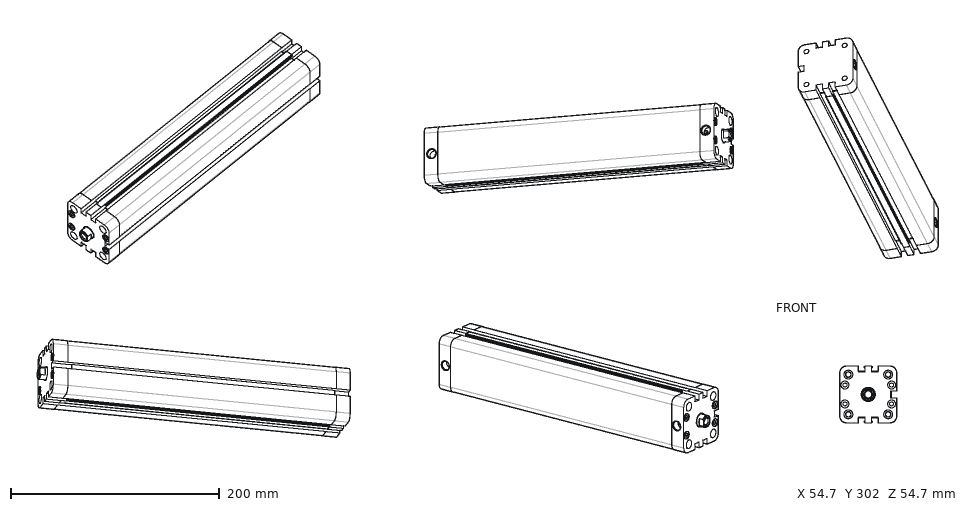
import cadquery as cq
import math

total_length = 302.0
rod_projection = 7.0
front_end = -total_length / 2
front_face = front_end + rod_projection
rear_face = total_length / 2
front_cap_length = 14.5
rear_cap_length = 14.0
tube_front = front_face + front_cap_length
tube_rear = rear_face - rear_cap_length

cap_width = 54.7
tube_width = 54.5
corner_radius = 6.5
cap_draft_angle = 0.2

slot_width = 6.3
slot_offset = 6.3
cap_floor_height = 21.5
tube_floor_height = 22.3
slot_mouth_length = 5.5
rail_half_width = slot_offset - slot_width / 2
lip_overhang = 1.0
lip_bottom = 25.5
lip_crest_bottom = 26.0
lip_crest_top = 26.5
lip_top = tube_width / 2

mount_offset = 19.0
mount_bore_diameter = 8.5
mount_bore_depth = 9.0
mount_step_diameter = 5.5
mount_step_depth = 12.0
mount_through_diameter = 4.8

screw_x = 22.3
screw_z = 9.0
screw_head_diameter = 7.5
screw_recess_depth = 1.0
socket_across_flats = 3.5
socket_depth = 1.8

front_port_inset = 8.5
rear_port_inset = 7.5
port_rim_diameter = 10.0
port_diameter = 8.5
port_depth = 7.5
passage_diameter = 3.0
passage_depth = 4.5
passage_shift = 2.0

rod_diameter = 12.0
rod_across_flats = 10.0
rod_flat_start = 1.8
rod_chamfer_length = 1.0
rod_chamfer_depth = 0.5
rod_recess_diameter = 13.5
rod_recess_depth = 1.2
rod_hole_diameter = 6.5
rod_hole_rim_diameter = 8.5
rod_hole_depth = 15.0
drill_point_angle = 118.0


def box_between(x_range, y_range, z_range):
    """Axis-aligned box between the given limits."""
    sizes = [high - low for low, high in (x_range, y_range, z_range)]
    corner = cq.Vector(x_range[0], y_range[0], z_range[0])
    return cq.Workplane(obj=cq.Solid.makeBox(*sizes, corner))


def cylinder_along_y(diameter, y_start, depth, x=0.0, z=0.0):
    """Cylinder that starts at y_start and runs towards +Y."""
    start = cq.Vector(x, y_start, z)
    return cq.Workplane(obj=cq.Solid.makeCylinder(diameter / 2, depth, start, cq.Vector(0, 1, 0)))


def cone_along_y(start_diameter, end_diameter, y_start, depth):
    """Cone on the cylinder axis that runs towards +Y."""
    start = cq.Vector(0, y_start, 0)
    axis = cq.Vector(0, 1, 0)
    return cq.Workplane(obj=cq.Solid.makeCone(start_diameter / 2, end_diameter / 2, depth, start, axis))


def section_plane(y):
    """XZ workplane at y, with its normal towards -Y."""
    return cq.Workplane("XZ", origin=(0, y, 0))


def rounded_square(width):
    return cq.Sketch().rect(width, width).vertices().fillet(corner_radius)


def end_cap(y_joint, length):
    """Cap that is widest at the tube joint and drafted towards its free end; length is signed along -Y."""
    joint_section = section_plane(y_joint).placeSketch(rounded_square(cap_width))
    return joint_section.extrude(length, taper=cap_draft_angle)


def both_z_sides(solid):
    return solid.union(solid.mirror("XY"))


def slot_strips(y_start, y_end, floor, top):
    """Bars that fill all five slots between two distances from the axis."""
    y_range = (y_start, y_end)
    half = slot_width / 2
    strips = box_between((floor, top), y_range, (-half, half))
    for x in (-slot_offset, slot_offset):
        strips = strips.union(both_z_sides(box_between((x - half, x + half), y_range, (floor, top))))
    return strips


def rail_lips():
    """Bevelled lips along the rail between paired slots, on top and bottom."""
    crest = rail_half_width + lip_overhang
    right_side = [
        (rail_half_width, lip_bottom),
        (crest, lip_crest_bottom),
        (crest, lip_crest_top),
        (rail_half_width, lip_top),
    ]
    left_side = [(-x, z) for x, z in reversed(right_side)]
    lip_front = tube_front + slot_mouth_length
    lips = section_plane(lip_front).polyline(right_side + left_side).close().extrude(lip_front - tube_rear)
    return both_z_sides(lips)


def slotted_body():
    tube = section_plane(tube_front).placeSketch(rounded_square(tube_width)).extrude(tube_front - tube_rear)
    body = tube.union(end_cap(tube_front, front_cap_length)).union(end_cap(tube_rear, -rear_cap_length))
    body = body.cut(slot_strips(front_face, rear_face, cap_floor_height, cap_width))
    raised_floor = slot_strips(tube_front + slot_mouth_length, tube_rear, cap_floor_height, tube_floor_height)
    return body.union(raised_floor).union(rail_lips())


def mounting_hole(x, z):
    """Through hole, counterbored in two steps from the front face."""
    bore = cylinder_along_y(mount_bore_diameter, front_face, mount_bore_depth, x, z)
    step = cylinder_along_y(mount_step_diameter, front_face, mount_step_depth, x, z)
    through = cylinder_along_y(mount_through_diameter, front_face, rear_face - front_face, x, z)
    return through.union(step).union(bore)


def screw_recess(x, z):
    """Recess above a cap screw head, with its hexagon socket."""
    recess = cylinder_along_y(screw_head_diameter, front_face, screw_recess_depth, x, z)
    across_corners = socket_across_flats / math.cos(math.pi / 6)
    socket = (
        section_plane(front_face)
        .center(x, z)
        .transformed(rotate=(0, 0, 90))
        .polygon(6, across_corners)
        .extrude(-screw_recess_depth - socket_depth)
    )
    return recess.union(socket)


def air_port(y, passage_y):
    """Blind port on the -X side with a chamfered rim and an off-centre air passage."""
    inward = cq.Vector(1, 0, 0)
    surface = -cap_width / 2
    rim_depth = (port_rim_diameter - port_diameter) / 2
    mouth = cq.Vector(surface, y, 0)
    passage_start = cq.Vector(surface, passage_y, 0)
    rim = cq.Solid.makeCone(port_rim_diameter / 2, port_diameter / 2, rim_depth, mouth, inward)
    bore = cq.Solid.makeCylinder(port_diameter / 2, port_depth, mouth, inward)
    passage = cq.Solid.makeCylinder(passage_diameter / 2, port_depth + passage_depth, passage_start, inward)
    return cq.Workplane(obj=bore).union(cq.Workplane(obj=rim)).union(cq.Workplane(obj=passage))


def piston_rod():
    """Rod end with two wrench flats and a chamfered tip."""
    tip_diameter = rod_diameter - 2 * rod_chamfer_depth
    shank_start = front_end + rod_chamfer_length
    rod_root = front_face + rod_recess_depth
    rod = cone_along_y(tip_diameter, rod_diameter, front_end, rod_chamfer_length)
    rod = rod.union(cylinder_along_y(rod_diameter, shank_start, rod_root - shank_start))

    flat_range = (front_end, front_face - rod_flat_start)
    z_range = (-rod_diameter / 2, rod_diameter / 2)
    flat_cut = box_between((rod_across_flats / 2, rod_diameter), flat_range, z_range)
    return rod.cut(flat_cut).cut(flat_cut.mirror("YZ"))


def rod_hole():
    """Blind hole in the rod tip with a chamfered rim and a drill point."""
    rim_depth = (rod_hole_rim_diameter - rod_hole_diameter) / 2
    point_depth = rod_hole_diameter / 2 / math.tan(math.radians(drill_point_angle / 2))
    hole = cylinder_along_y(rod_hole_diameter, front_end, rod_hole_depth)
    hole = hole.union(cone_along_y(rod_hole_rim_diameter, rod_hole_diameter, front_end, rim_depth))
    return hole.union(cone_along_y(rod_hole_diameter, 0, front_end + rod_hole_depth, point_depth))


result = slotted_body()

for x_side in (-1, 1):
    for z_side in (-1, 1):
        result = result.cut(mounting_hole(x_side * mount_offset, z_side * mount_offset))
        result = result.cut(screw_recess(x_side * screw_x, z_side * screw_z))

front_port_y = front_face + front_port_inset
rear_port_y = rear_face - rear_port_inset
result = result.cut(air_port(front_port_y, front_port_y + passage_shift))
result = result.cut(air_port(rear_port_y, rear_port_y - passage_shift))

result = result.cut(cylinder_along_y(rod_recess_diameter, front_face, rod_recess_depth))
result = result.union(piston_rod()).cut(rod_hole())